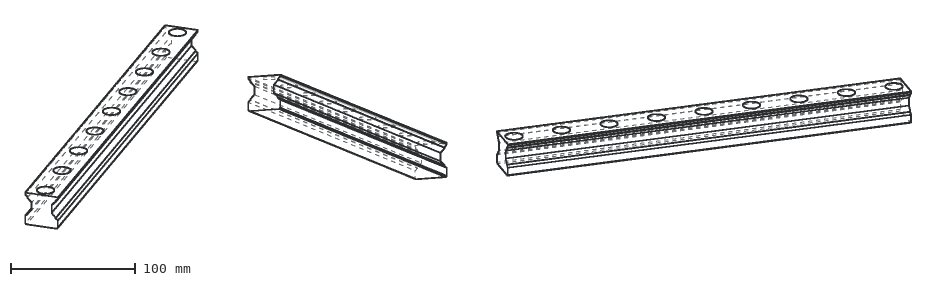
import cadquery as cq

LENGTH = 340.0
WIDTH = 28.0
HEIGHT = 28.0
BASE_CHAMFER = 1.0

NECK_WIDTH = 17.0
NECK_HEIGHT = 6.8
NECK_MID_Z = 16.5
FLANK = 3.7
RELIEF_STEP = 0.4
SHOULDER_RISE = 1.7

LIP_INSET = 0.5
LIP_THICKNESS = 1.0

HOLE_COUNT = 9
END_MARGIN = 10.0
HOLE_PITCH = (LENGTH - 2 * END_MARGIN) / (HOLE_COUNT - 1)
HOLE_DIAMETER = 14.0
PLUG_RECESS = 0.17


def raceway(direction):
    """Points from the neck outwards; direction is +1 for upper, -1 for lower."""
    neck_x = NECK_WIDTH / 2
    flank_x = neck_x + FLANK
    neck_z = NECK_HEIGHT / 2
    flank_z = neck_z + FLANK
    offsets = [
        (neck_x, neck_z),
        (flank_x, flank_z),
        (flank_x - RELIEF_STEP, flank_z + RELIEF_STEP),
    ]
    return [(x, NECK_MID_Z + direction * dz) for x, dz in offsets]


def rail_profile():
    """Closed section in XZ: the right half and its mirror image."""
    side = WIDTH / 2
    lower = raceway(-1)
    upper = raceway(+1)
    right_half = [
        (side - BASE_CHAMFER, 0),
        (side, BASE_CHAMFER),
        (side, lower[-1][1] - SHOULDER_RISE),
        *reversed(lower),
        *upper,
        (side - LIP_INSET, upper[-1][1] + SHOULDER_RISE),
        (side, HEIGHT - LIP_THICKNESS),
        (side, HEIGHT),
    ]
    left_half = [(-x, z) for x, z in reversed(right_half)]
    return right_half + left_half


rail = (
    cq.Workplane("XZ")
    .polyline(rail_profile())
    .close()
    .extrude(LENGTH / 2, both=True)
)

plug_recesses = (
    cq.Workplane("XY", origin=(0, 0, HEIGHT - PLUG_RECESS))
    .rarray(3.5, HOLE_PITCH, 1, HOLE_COUNT)
    .circle(HOLE_DIAMETER / 2)
    .extrude(PLUG_RECESS)
)

result = rail.cut(plug_recesses)